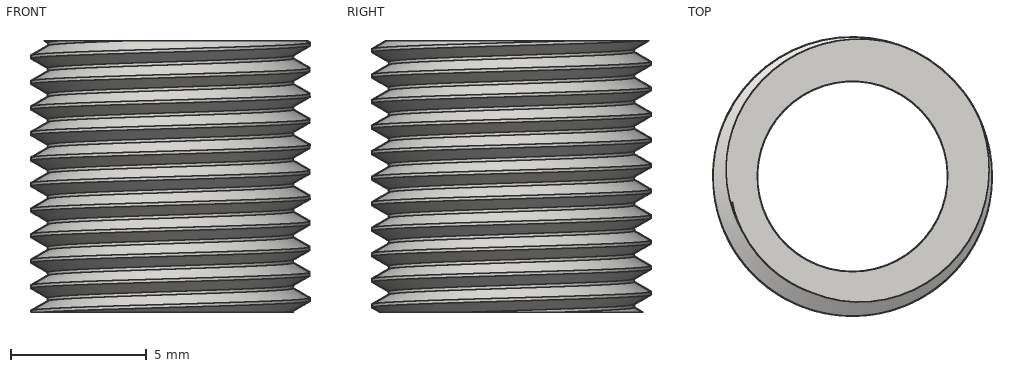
import cadquery as cq
import math

crest_diameter = 10.29
root_diameter = 9.07
bore_diameter = 7.0
length = 10.0
pitch = 0.94
flank_angle = 30.0
cutter_overlap = 0.05
spare_turns = 2
spare_length = 4.12
seam_angle = 37.0

crest_radius = crest_diameter / 2
root_radius = root_diameter / 2
cutter_radius = crest_radius + cutter_overlap
flank_slope = math.tan(math.radians(flank_angle))
flank_height = (crest_radius - root_radius) * flank_slope
half_root = (pitch / 2 - flank_height) / 2
half_mouth = half_root + (cutter_radius - root_radius) * flank_slope


def groove_cutter():
    """Right-handed helical V cutter with a flat root, longer than the tube."""
    turns = math.ceil(length / pitch) + 2 * spare_turns
    helix = cq.Wire.makeHelix(pitch, turns * pitch, root_radius)
    profile = (
        cq.Workplane("XZ")
        .moveTo(root_radius, half_root)
        .lineTo(cutter_radius, half_mouth)
        .lineTo(cutter_radius, -half_mouth)
        .lineTo(root_radius, -half_root)
        .close()
    )
    cutter = profile.sweep(cq.Workplane(helix), isFrenet=True)
    return cutter.translate((0, 0, -spare_turns * pitch))


def long_blank():
    """Plain tube with waste at both ends."""
    return (
        cq.Workplane("XY")
        .workplane(offset=-spare_length)
        .circle(crest_radius)
        .circle(bore_diameter / 2)
        .extrude(length + 2 * spare_length)
        .rotate((0, 0, 0), (0, 0, 1), seam_angle)
    )


finished_length = cq.Workplane("XY").circle(crest_diameter).extrude(length)
result = long_blank().cut(groove_cutter()).intersect(finished_length)